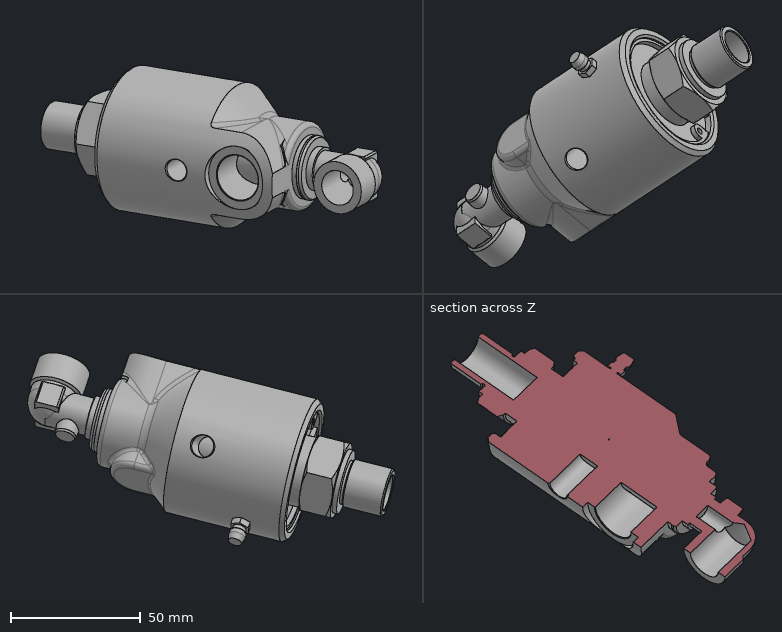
import cadquery as cq
import math


thread_end = 16.0
thread_dia = 19.05
thread_chamfer = 0.5
relief_end = 17.1
relief_dia = 17.48
washer_end = 19.0
washer_dia = 25.4
nut_end = 31.7
nut_across_flats = 29.8
nut_crown_angle = 30
collar_dia = 27.8
shaft_bore_dia = 13.89
shaft_bore_depth = 30.0
shaft_bore_chamfer = 0.35

housing_start = 33.9
housing_dia = 57.0
housing_chamfer_length = 1.8
housing_chamfer_height = 1.5
cone_start = 82.1
cone_angle = 40
neck_dia = 35.2
neck_end = 112.8
neck_edge_fillet = 2.0
cone_neck_fillet = 5.0
recess_dia = 47.07
recess_depth = 3.5
recess_mouth_dia = 48.8

ring_inner_dia = 44.4
ring_front_depth = 1.5
ring_seat = 0.4
ring_lug_dia = 6.2
ring_lug_hole_dia = 2.64
ring_lug_y = -17.9
ring_lug_z = 8.0
ring_gap = 10.6

port_x = 96.0
port_boss_width = 35.0
port_boss_fillet = 3.0
port_face_y = -25.5
port_face_dia = 25.4
port_dia = 18.0
port_chamfer = 0.3
core_dia = 19.9
rear_boss_width = 20.0
rear_boss_height = 22.2
rear_boss_top_fillet = 2.0
rear_boss_root_fillet = 1.7
rear_boss_root_low = 13.0

drain_x = 70.6
drain_dia = 8.6
drain_mouth_dia = 9.6
drain_count = 3

nipple_x = 50.6
nipple_stem_dia = 3.5
nipple_hex_start = 28.9
nipple_hex_end = 31.5
nipple_across_flats = 7.0
nipple_neck_dia = 5.36
nipple_neck_end = 33.0
nipple_head_dia = 6.7
nipple_head_step = 0.5
nipple_head_widest = 35.3
nipple_tip_dia = 5.36
nipple_top = 37.91

sleeve_step = 114.8
sleeve_rim_end = 115.7
sleeve_end = 116.8
sleeve_dia = 25.1
sleeve_rim_dia = 25.4
sleeve_end_dia = 24.2
spigot_end = 119.6
spigot_dia = 17.2
pipe_dia = 15.0
elbow_x = 136.02
elbow_dia = 19.0
elbow_center_y = -2.1
socket_start_y = -7.0
socket_chamfer = 0.9
socket_end_y = -18.2
socket_dia = 21.0
socket_bore_dia = 13.89
socket_bore_depth = 19.7
drill_tip_angle = 118
pipe_bore_dia = 6.7
plug_x = 126.9
plug_base_dia = 9.3
plug_dia = 8.6
plug_base_y = 6.0
plug_top = 11.2
plug_chamfer = 0.9
plug_chamfer_inset = 0.4
pad_x = 136.2
pad_width = 9.6
pad_height = 19.0
pad_chamfer = 0.7


def rod(dia, start, end):
    """Cylinder along X between two stations."""
    return cq.Workplane("YZ").workplane(offset=start).circle(dia / 2).extrude(end - start)


def cross_rod(dia, x, start, end):
    """Cylinder along Y at station x."""
    return cq.Workplane("ZX", origin=(x, start, 0)).circle(dia / 2).extrude(end - start)


def turned(profile):
    """Body turned about the X axis from (x, radius) points."""
    return cq.Workplane("XY").polyline(profile).close().revolve(360, (0, 0, 0), (1, 0, 0))


def cross_turned(x, profile):
    """Body turned about the Y direction at station x from (radius, y) points."""
    return cq.Workplane("XY", origin=(x, 0, 0)).polyline(profile).close().revolve(360, (0, 0, 0), (0, 1, 0))


def make_housing():
    """Chamfered drum, cone and neck, with a rounded root between cone and neck."""
    housing_r = housing_dia / 2
    neck_r = neck_dia / 2
    cone_end = cone_start + (housing_r - neck_r) / math.tan(math.radians(cone_angle))
    body = turned([
        (housing_start, 0),
        (housing_start, housing_r - housing_chamfer_height),
        (housing_start + housing_chamfer_length, housing_r),
        (cone_start, housing_r),
        (cone_end, neck_r),
        (neck_end, neck_r),
        (neck_end, 0),
    ])
    cone_root = cq.selectors.BoxSelector((cone_end - 0.1, -neck_r, -neck_r), (cone_end + 0.1, neck_r, neck_r))
    return body.edges(cone_root).fillet(cone_neck_fillet)


def slot_boss(width, end):
    """Boss from the axis to Y = end, rounded about the port axis and running back into the housing."""
    back = cone_start - 10
    half = width / 2
    return (
        cq.Workplane("ZX")
        .moveTo(-half, back)
        .lineTo(-half, port_x)
        .threePointArc((0, port_x + half), (half, port_x))
        .lineTo(half, back)
        .close()
        .extrude(end)
    )


def fillet_boss_root(body, y_low, y_high, radius):
    """Round the curved edges where a boss meets the cone and the neck, between two Y levels."""
    half = neck_dia / 2
    x_low = cone_start + 1
    x_high = neck_end - 0.1
    root = cq.selectors.BoxSelector((x_low, y_low, -half), (x_high, y_high, half))
    return body.edges("not %LINE").edges(root).fillet(radius)


def make_port_boss():
    """Stretch of the housing drum that carries the side port."""
    boss = slot_boss(port_boss_width, -housing_dia / 2)
    return boss.intersect(rod(housing_dia, housing_start, neck_end))


def add_port_boss(body):
    body = body.union(make_port_boss())
    return fillet_boss_root(body, -neck_dia / 2, -1, port_boss_fillet)


def add_rear_boss(body):
    boss = slot_boss(rear_boss_width, rear_boss_height)
    boss = boss.faces(">Y").edges("not(<X)").fillet(rear_boss_top_fillet)
    body = body.union(boss)
    root_high = rear_boss_height - rear_boss_top_fillet - 0.1
    return fillet_boss_root(body, rear_boss_root_low, root_high, rear_boss_root_fillet)


def round_neck_end(body):
    """Round the end of the neck, leaving the port boss sharp."""
    start = neck_end - 2 * neck_edge_fillet
    neck = rod(neck_dia + 2, start, neck_end)
    rounded = rod(neck_dia, start, neck_end).faces(">X").edges().fillet(neck_edge_fillet)
    return body.cut(neck.cut(rounded).cut(make_port_boss()))


def make_recess():
    """Front recess of the housing with a chamfered mouth."""
    radius = recess_dia / 2
    mouth_radius = recess_mouth_dia / 2
    floor = housing_start + recess_depth
    return turned([
        (housing_start, 0),
        (housing_start, mouth_radius),
        (housing_start + mouth_radius - radius, radius),
        (floor, radius),
        (floor, 0),
    ])


def make_retaining_ring():
    """Internal retaining ring, seated on the recess floor, with two pierced lugs."""
    start = housing_start + ring_front_depth
    end = housing_start + recess_depth
    outer_dia = recess_dia + ring_seat
    thickness = end - start
    ring = rod(outer_dia, start, end).cut(rod(ring_inner_dia, start, end))
    gap = cq.Workplane("YZ", origin=(start, -outer_dia / 2, 0)).rect(outer_dia, ring_gap).extrude(thickness)
    ring = ring.cut(gap)
    for side in (-1, 1):
        lug_z = side * ring_lug_z
        plane = cq.Workplane("YZ", origin=(start, ring_lug_y, lug_z))
        tail = plane.center(-ring_lug_dia / 2, 0).rect(ring_lug_dia, ring_lug_dia).extrude(thickness)
        lug = plane.circle(ring_lug_dia / 2).extrude(thickness).union(tail)
        ring = ring.union(lug.intersect(rod(outer_dia, start, end)))
        ring = ring.cut(plane.circle(ring_lug_hole_dia / 2).extrude(thickness))
    return ring


def make_nut():
    """Hexagon with corners along the Y axis and both ends crowned."""
    corner_dia = nut_across_flats / math.cos(math.radians(30))
    hexagon = cq.Workplane("YZ", origin=(washer_end, 0, 0)).polygon(6, corner_dia).extrude(nut_end - washer_end)
    flat_r = nut_across_flats / 2
    corner_r = corner_dia / 2
    crown = (corner_r - flat_r) * math.tan(math.radians(nut_crown_angle))
    envelope = turned([
        (washer_end, 0),
        (washer_end, flat_r),
        (washer_end + crown, corner_r),
        (nut_end - crown, corner_r),
        (nut_end, flat_r),
        (nut_end, 0),
    ])
    return hexagon.intersect(envelope)


def make_shaft():
    """Threaded end, relief, washer, nut and the collar that enters the recess."""
    shaft = rod(thread_dia, 0, thread_end).faces("<X or >X").chamfer(thread_chamfer)
    shaft = shaft.union(rod(relief_dia, thread_end, relief_end))
    shaft = shaft.union(rod(washer_dia, relief_end, washer_end))
    shaft = shaft.union(make_nut())
    return shaft.union(rod(collar_dia, nut_end, housing_start + recess_depth))


def make_shaft_bore():
    """Blind bore along the shaft with a chamfered mouth."""
    radius = shaft_bore_dia / 2
    return turned([
        (0, 0),
        (0, radius + shaft_bore_chamfer),
        (shaft_bore_chamfer, radius),
        (shaft_bore_depth, radius),
        (shaft_bore_depth, 0),
    ])


def make_port():
    """Spot-faced side port that ends on the round core of the housing."""
    face = cross_rod(port_face_dia, port_x, -housing_dia, port_face_y)
    mouth_r = port_dia / 2 + port_chamfer
    bore = cross_turned(port_x, [
        (0, port_face_y),
        (mouth_r, port_face_y),
        (port_dia / 2, port_face_y + port_chamfer),
        (port_dia / 2, 0),
        (0, 0),
    ])
    return face.union(bore).cut(rod(core_dia, housing_start, neck_end))


def make_drains():
    """Countersunk radial holes, evenly spaced from the -Y side."""
    housing_r = housing_dia / 2
    hole_r = drain_dia / 2
    mouth_r = drain_mouth_dia / 2
    hole = cross_turned(drain_x, [
        (0, -housing_r),
        (mouth_r, -housing_r),
        (hole_r, -housing_r + mouth_r - hole_r),
        (hole_r, 0),
        (0, 0),
    ])
    hole = hole.cut(rod(core_dia, housing_start, neck_end))
    drains = hole
    for i in range(1, drain_count):
        drains = drains.union(hole.rotate((0, 0, 0), (1, 0, 0), i * 360 / drain_count))
    return drains


def make_nipple():
    """Grease nipple: stem, hexagon, neck and barrel-shaped head."""
    stem = cross_rod(nipple_stem_dia, nipple_x, housing_dia / 2 - 1, nipple_hex_start)
    corner_dia = nipple_across_flats / math.cos(math.radians(30))
    hexagon = (
        cq.Workplane("ZX", origin=(nipple_x, nipple_hex_start, 0))
        .polygon(6, corner_dia)
        .extrude(nipple_hex_end - nipple_hex_start)
    )
    neck_r = nipple_neck_dia / 2
    head_r = nipple_head_dia / 2
    head = cross_turned(nipple_x, [
        (0, nipple_hex_end),
        (neck_r, nipple_hex_end),
        (neck_r, nipple_neck_end),
        (head_r, nipple_neck_end + nipple_head_step),
        (head_r, nipple_head_widest),
        (nipple_tip_dia / 2, nipple_top),
        (0, nipple_top),
    ])
    return stem.union(hexagon).union(head)


def make_sleeve():
    """Stepped sleeve at the end of the neck."""
    return turned([
        (neck_end, 0),
        (neck_end, sleeve_dia / 2),
        (sleeve_step, sleeve_dia / 2),
        (sleeve_step, sleeve_rim_dia / 2),
        (sleeve_rim_end, sleeve_rim_dia / 2),
        (sleeve_end, sleeve_end_dia / 2),
        (sleeve_end, spigot_dia / 2),
        (spigot_end, spigot_dia / 2),
        (spigot_end, 0),
    ])


def make_socket_bore():
    """Drilled socket with a conical floor, and the pipe bore that opens into it."""
    radius = socket_bore_dia / 2
    floor = socket_end_y + socket_bore_depth
    tip = floor + radius / math.tan(math.radians(drill_tip_angle / 2))
    bore = cross_turned(elbow_x, [
        (0, socket_end_y),
        (radius, socket_end_y),
        (radius, floor),
        (0, tip),
    ])
    return bore.union(rod(pipe_bore_dia, spigot_end, elbow_x - radius / 2))


def make_elbow():
    """Pipe along X turning through a ball into a socket that opens toward -Y."""
    elbow_r = elbow_dia / 2
    ball = cq.Workplane("XY", origin=(elbow_x, elbow_center_y, 0)).sphere(elbow_r)
    drop = cross_rod(elbow_dia, elbow_x, socket_start_y, elbow_center_y)
    socket_r = socket_dia / 2
    socket = cross_turned(elbow_x, [
        (0, socket_end_y),
        (socket_r, socket_end_y),
        (socket_r, socket_start_y),
        (elbow_r, socket_start_y + socket_chamfer),
        (0, socket_start_y + socket_chamfer),
    ])
    plug_r = plug_dia / 2
    plug = cross_turned(plug_x, [
        (0, 0),
        (plug_base_dia / 2, 0),
        (plug_base_dia / 2, plug_base_y),
        (plug_r, plug_top - plug_chamfer),
        (plug_r - plug_chamfer_inset, plug_top),
        (0, plug_top),
    ])
    pad = cq.Workplane("XY", origin=(pad_x, 0, 0)).box(pad_width, pad_width, pad_height)
    pad = pad.edges(">Z and |Y").chamfer(pad_chamfer)
    elbow = rod(pipe_dia, spigot_end, elbow_x)
    for piece in (ball, drop, socket, plug, pad):
        elbow = elbow.union(piece)
    return elbow.cut(make_socket_bore())


result = make_housing()
result = add_rear_boss(result)
result = add_port_boss(result)
result = round_neck_end(result)
result = result.cut(make_recess()).cut(make_port()).cut(make_drains())
for part in (make_shaft(), make_retaining_ring(), make_nipple(), make_sleeve(), make_elbow()):
    result = result.union(part)
result = result.cut(make_shaft_bore())